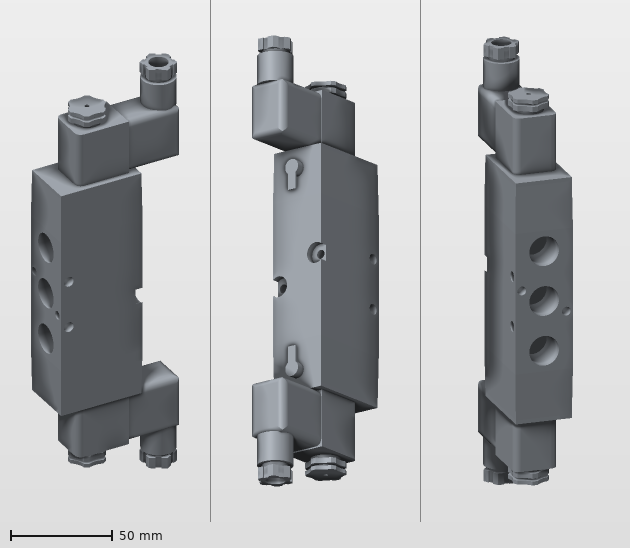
import cadquery as cq
import math

TOTAL_LENGTH = 228.0
TOTAL_DEPTH = 72.7

BODY_WIDTH = 30.0
BODY_DEPTH = 46.3
BODY_HALF_LENGTH = 36.7
CAP_TOP = 60.9
CAP_INSET = 0.4
PLATE_TOP = 63.0

PORT_DIAMETER = 15.5
PORT_DEPTH = 18.2
PORT_PITCH = 26.0
FRONT_HOLE_DIAMETER = 4.5
FRONT_HOLE_X = 11.6
FRONT_HOLE_Z = 6.5
COUNTERBORE_DIAMETER = 10.7
COUNTERBORE_DEPTH = 4.0
SIDE_HOLE_DIAMETER = 5.5
SIDE_HOLE_Y = 4.5
SIDE_HOLE_Z = 13.0

PIN_DIAMETER = 8.0
PIN_Z = 52.2
PIN_LENGTH = 4.3
LEVER_WIDTH = 4.5
LEVER_THICKNESS = 1.0
LEVER_END_Z = 40.5

COIL_WIDTH = 22.5
COIL_FRONT_Y = 11.9
COIL_BACK_Y = 40.5
COIL_TOP = 92.3
COIL_CORNER_RADIUS = 3.5
NUT_Y = 23.3
NUT_COLLAR_DIAMETER = 15.0
NUT_NECK_DIAMETER = 13.5
NUT_LOWER_BOTTOM = 94.5
NUT_LOWER_TOP = 97.1
NUT_UPPER_BOTTOM = 98.5
NUT_UPPER_TOP = 100.5
NUT_TIP_RADIUS = 10.0
NUT_TIP_HALF_WIDTH = 1.4
NUT_VALLEY_RADIUS = 8.7
NUT_HOLE_DIAMETER = 2.5

PLUG_WIDTH = 21.5
PLUG_BACK_Y = 71.0
PLUG_TOP = 91.7
PLUG_EDGE_RADIUS = 3.6
PLUG_BACK_CORNER_RADIUS = 3.0
GLAND_DIAMETER = 18.0
GLAND_Y = TOTAL_DEPTH - GLAND_DIAMETER / 2
GLAND_BOTTOM = 91.0
GLAND_TOP = 106.0
GLAND_NECK_DIAMETER = 13.5
KNOB_BOTTOM = 108.0
KNOB_TOP = TOTAL_LENGTH / 2
KNOB_CORNER_DIAMETER = 18.5
KNOB_NOTCH_WIDTH = 3.0
KNOB_NOTCH_FLOOR_RADIUS = 7.0
CABLE_HOLE_DIAMETER = 10.0

SIDES = 6
SIDE_PITCH = 360.0 / SIDES


def block(width, y_front, y_back, z_bottom, z_top):
    """Box centred on X between the given Y and Z limits."""
    size = (width, y_back - y_front, z_top - z_bottom)
    return cq.Workplane("XY").box(*size, centered=(True, False, False)).translate((0, y_front, z_bottom))


def upright_cylinder(diameter, y, z_bottom, z_top):
    plane = cq.Workplane("XY", origin=(0, y, z_bottom))
    return plane.circle(diameter / 2).extrude(z_top - z_bottom)


def polar_point(along, across, angle):
    """Point at a distance along the direction of angle (degrees) and across it."""
    a = math.radians(angle)
    return (along * math.cos(a) - across * math.sin(a), along * math.sin(a) + across * math.cos(a))


def nut_disc(z_bottom, z_top):
    """Six flat-tipped lobes, one along Y, joined by shallow concave arcs."""
    outline = cq.Workplane("XY", origin=(0, NUT_Y, z_bottom))
    first_angle = SIDE_PITCH / 2
    outline = outline.moveTo(*polar_point(NUT_TIP_RADIUS, -NUT_TIP_HALF_WIDTH, first_angle))
    for i in range(SIDES):
        angle = first_angle + i * SIDE_PITCH
        valley = polar_point(NUT_VALLEY_RADIUS, 0, angle + SIDE_PITCH / 2)
        next_tip = polar_point(NUT_TIP_RADIUS, -NUT_TIP_HALF_WIDTH, angle + SIDE_PITCH)
        outline = outline.lineTo(*polar_point(NUT_TIP_RADIUS, NUT_TIP_HALF_WIDTH, angle))
        outline = outline.threePointArc(valley, next_tip)
    return outline.close().extrude(z_top - z_bottom)


def knob():
    """Hexagonal grip, two corners along X, with a notch down the middle of each flat."""
    height = KNOB_TOP - KNOB_BOTTOM
    base = cq.Workplane("XY", origin=(0, GLAND_Y, KNOB_BOTTOM))
    grip = base.polygon(SIDES, KNOB_CORNER_DIAMETER).extrude(height)
    notch_length = KNOB_CORNER_DIAMETER / 2 - KNOB_NOTCH_FLOOR_RADIUS
    notch_centre = KNOB_NOTCH_FLOOR_RADIUS + notch_length / 2
    notches = base.polarArray(notch_centre, SIDE_PITCH / 2, 360, SIDES)
    return grip.cut(notches.rect(notch_length, KNOB_NOTCH_WIDTH).extrude(height))


def end_cap():
    """Slightly tapered cap closed by a straight end plate."""
    cap_length = CAP_TOP - BODY_HALF_LENGTH
    taper = math.degrees(math.atan(CAP_INSET / cap_length))
    base = cq.Workplane("XY", origin=(0, BODY_DEPTH / 2, BODY_HALF_LENGTH))
    cap = base.rect(BODY_WIDTH, BODY_DEPTH).extrude(cap_length, taper=taper)
    plate_width = BODY_WIDTH - 2 * CAP_INSET
    return cap.union(block(plate_width, CAP_INSET, BODY_DEPTH - CAP_INSET, CAP_TOP, PLATE_TOP))


def manual_override():
    """Pin with a thin lever pointing towards the middle of the body."""
    pin_base = cq.Workplane("XZ", origin=(0, BODY_DEPTH - CAP_INSET, PIN_Z))
    lever_back = BODY_DEPTH + PIN_LENGTH
    pin = pin_base.circle(PIN_DIAMETER / 2).extrude(-(PIN_LENGTH + CAP_INSET))
    return pin.union(block(LEVER_WIDTH, lever_back - LEVER_THICKNESS, lever_back, LEVER_END_Z, PIN_Z))


def coil():
    housing = block(COIL_WIDTH, COIL_FRONT_Y, COIL_BACK_Y, PLATE_TOP, COIL_TOP)
    return housing.faces("<Y").edges("|Z").fillet(COIL_CORNER_RADIUS)


def coil_nut():
    nut = upright_cylinder(NUT_COLLAR_DIAMETER, NUT_Y, COIL_TOP, NUT_LOWER_BOTTOM)
    nut = nut.union(nut_disc(NUT_LOWER_BOTTOM, NUT_LOWER_TOP))
    nut = nut.union(upright_cylinder(NUT_NECK_DIAMETER, NUT_Y, NUT_LOWER_TOP, NUT_UPPER_BOTTOM))
    nut = nut.union(nut_disc(NUT_UPPER_BOTTOM, NUT_UPPER_TOP))
    return nut.cut(upright_cylinder(NUT_HOLE_DIAMETER, NUT_Y, NUT_UPPER_BOTTOM, NUT_UPPER_TOP))


def plug():
    """Plug housing whose rounded edges meet in mitres at the back corners."""
    housing = block(PLUG_WIDTH, COIL_BACK_Y, PLUG_BACK_Y, PLATE_TOP, PLUG_TOP)
    long_rounded = housing.edges("|Y").fillet(PLUG_EDGE_RADIUS)
    upright_rounded = housing.faces(">Y").edges("|Z").fillet(PLUG_EDGE_RADIUS)
    cross_rounded = housing.faces(">Y").edges("|X").fillet(PLUG_BACK_CORNER_RADIUS)
    return long_rounded.intersect(upright_rounded).intersect(cross_rounded)


def cable_gland():
    gland = upright_cylinder(GLAND_DIAMETER, GLAND_Y, GLAND_BOTTOM, GLAND_TOP)
    gland = gland.union(upright_cylinder(GLAND_NECK_DIAMETER, GLAND_Y, GLAND_TOP, KNOB_BOTTOM))
    gland = gland.union(knob())
    return gland.cut(upright_cylinder(CABLE_HOLE_DIAMETER, GLAND_Y, GLAND_TOP, KNOB_TOP))


def hole_along_y(diameter, x, z, y_start, depth):
    return cq.Workplane("XZ", origin=(x, y_start, z)).circle(diameter / 2).extrude(-depth)


def cut_holes(valve):
    for row in (-1, 0, 1):
        valve = valve.cut(hole_along_y(PORT_DIAMETER, 0, row * PORT_PITCH, 0, PORT_DEPTH))
    bore_start = BODY_DEPTH - COUNTERBORE_DEPTH
    side_base = cq.Workplane("YZ", origin=(-BODY_WIDTH / 2, SIDE_HOLE_Y, 0))
    for side in (-1, 1):
        x = side * FRONT_HOLE_X
        z = -side * FRONT_HOLE_Z
        valve = valve.cut(hole_along_y(FRONT_HOLE_DIAMETER, x, z, 0, BODY_DEPTH))
        valve = valve.cut(hole_along_y(COUNTERBORE_DIAMETER, x, z, bore_start, COUNTERBORE_DEPTH))
        side_hole = side_base.center(0, side * SIDE_HOLE_Z).circle(SIDE_HOLE_DIAMETER / 2)
        valve = valve.cut(side_hole.extrude(BODY_WIDTH))
    return valve


body = block(BODY_WIDTH, 0, BODY_DEPTH, -BODY_HALF_LENGTH, BODY_HALF_LENGTH)
solenoid_end = end_cap()
for component in (manual_override(), coil(), coil_nut(), plug(), cable_gland()):
    solenoid_end = solenoid_end.union(component)

result = cut_holes(body).union(solenoid_end).union(solenoid_end.mirror("XY"))